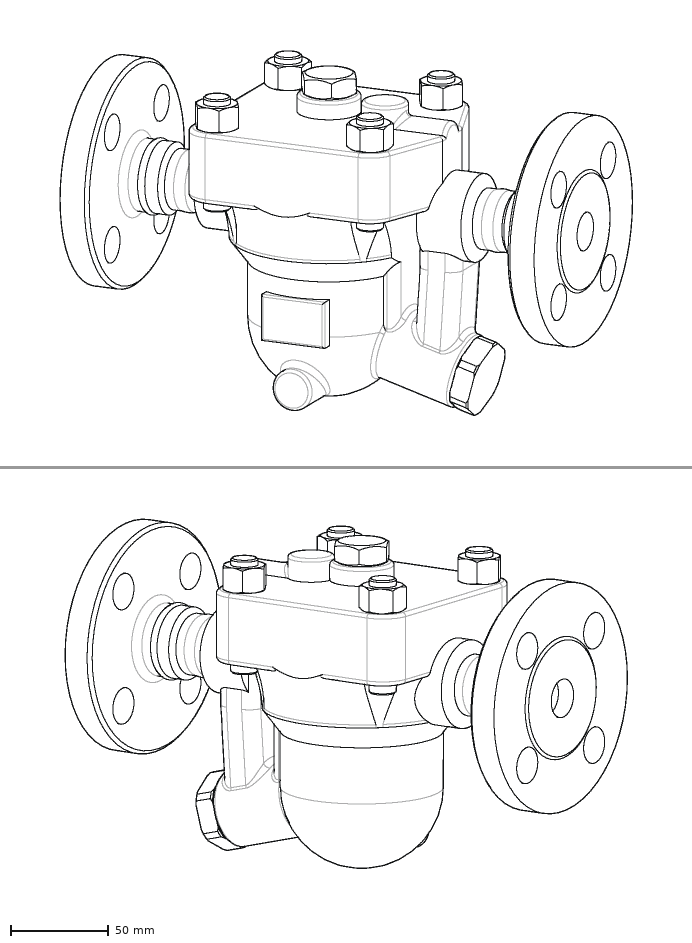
import cadquery as cq
import math


PLATE_HALF = 57.7
PLATE_TIP_X = 70.0
PLATE_TIP_HALF = 12.0
PLATE_BOTTOM = 6.5
PLATE_TOP = 44.2
TOP_ROUND = 2.0
BOTTOM_ROUND = 2.7

STUD_OFFSET = 43.4
STUD_D = 14.0
STUD_BOTTOM = 0.5
STUD_TOP = 60.7
STUD_CHAMFER = 0.8
NUT_FLATS = 21.1
NUT_TOP = 57.2
STUD_RELIEF_D = 20.0

BOWL_R = 42.0
SHOULDER_R = 51.5
FLARE_R = 60.2
FLARE_TOP = 9.8
FLARE_MID = (54.7, -2.0)
SHOULDER_TOP = -18.5
SHOULDER_BOTTOM = -20.0
CONE_BOTTOM = -32.5
DOME_Z = -62.0
BOWL_FLAT_X = 46.0
RIB_WIDTH = 33.0
RIB_ROUND = 5.5
ROOT_ROUND = 2.7

PIPE_MID_X = 9.8
FACE_X = 135.5
RAISED_FACE = 1.0
RAISED_BASE_R = 32.0
RAISED_TOP_R = 30.4
FLANGE_D = 120.0
FLANGE_INNER_X = 118.7
FLANGE_CHAMFER = 2.0
NECK_ROUND = 3.8
NECK_R = 19.0
NECK_END_X = 98.0
TUBE_R = 16.0
TUBE_START_X = 95.7
CONE_TIP_X = 78.9
HUB_R = 23.0
HUB_X = 75.5
NECK_BEAD = (105.5, 109.5, 20.0)
TUBE_BEAD = (84.0, 90.5, 16.5)
INLET_HUB_LENGTH = 43.4
OUTLET_HUB_LENGTH = 25.2
BORE_D = 20.0
BORE_DEPTH = 9.5
BOLT_HOLE_D = 19.0
BOLT_OFFSET = 30.0

BRANCH_TILT = 15.0
BRANCH_D = 40.0
BRANCH_LENGTH = 81.5
BRANCH_END_ROUND = 1.5
BRANCH_HEX_FLATS = 37.5
BRANCH_HEX_CORNERS = 41.2
BRANCH_HEX_LENGTH = 10.8
BRANCH_HEX_CHAMFER = 0.8

LEG_X = 68.5
LEG_LENGTH = 23.5
LEG_ROUND = 7.0
LEG_TOP = 8.0
LEG_BEND_Z = -26.3
LEG_BOTTOM = -76.0
LEG_TILT = 3.7
LEG_ROOT_ROUND = 2.7

JOINT_LOW_Z = -101.5
JOINT_HIGH_Z = -51.5

DRAIN_D = 22.0
DRAIN_Z = -90.8
DRAIN_REACH = 45.8
BOSS_ROUND = 1.5
LABEL_WIDTH = 35.8
LABEL_TOP = -42.0
LABEL_BOTTOM = -66.7
LABEL_REACH = 44.5
LABEL_INNER = 32.5
LABEL_ROUND = 1.0

BOSS_D = 24.0
BOSS_X = 31.7
BOSS_TOP = 56.5
PASSAGE_R = 9.5
PASSAGE_TOP = 49.5
PASSAGE_JOINT_ROUND = 2.7

BEVEL_ANGLE = 30.0

COLLAR_D = 33.0
COLLAR_BOTTOM = 47.0
COLLAR_TOP = 56.5
PLUG_HEX_FLATS = 26.8
PLUG_TOP = 67.5
PLUG_BEVEL_INSET = 1.0


def edges_within(low_corner, high_corner):
    """Selector for edges whose centres lie in a box."""
    return cq.selectors.BoxSelector(low_corner, high_corner)


def corner_width(flats):
    """Width across the corners of a hexagon, from its width across flats."""
    return flats * 2 / math.sqrt(3)


def hexagon(flats, bottom, top, bevel_inset=0.0, turn=0.0):
    """Hexagon prism along Z whose corners are bevelled at both ends."""
    across_corners = corner_width(flats)
    height = top - bottom
    prism = cq.Workplane("XY").polygon(6, across_corners).extrude(height)
    corner_drop = (across_corners - flats) / 2 + bevel_inset
    bevel_height = corner_drop * math.tan(math.radians(BEVEL_ANGLE))
    envelope = (
        cq.Workplane("XY")
        .circle(across_corners / 2)
        .extrude(height)
        .faces("<Z or >Z")
        .chamfer(bevel_height, corner_drop)
    )
    return prism.intersect(envelope).rotate((0, 0, 0), (0, 0, 1), turn).translate((0, 0, bottom))


def plate():
    """Square plate with corners round the studs and one side tapered to a tip."""
    corner_r = PLATE_HALF - STUD_OFFSET
    to_tip_x = PLATE_TIP_X - STUD_OFFSET
    to_tip_y = PLATE_TIP_HALF - STUD_OFFSET
    angle = math.atan2(to_tip_y, to_tip_x) + math.acos(corner_r / math.hypot(to_tip_x, to_tip_y))
    tangent_x = STUD_OFFSET + corner_r * math.cos(angle)
    tangent_y = STUD_OFFSET + corner_r * math.sin(angle)
    mid_angle = (angle + math.pi / 2) / 2
    mid_x = STUD_OFFSET + corner_r * math.cos(mid_angle)
    mid_y = STUD_OFFSET + corner_r * math.sin(mid_angle)
    diagonal = STUD_OFFSET + corner_r * math.sqrt(0.5)
    outline = (
        cq.Workplane("XY", origin=(0, 0, PLATE_BOTTOM))
        .moveTo(PLATE_TIP_X, -PLATE_TIP_HALF)
        .lineTo(PLATE_TIP_X, PLATE_TIP_HALF)
        .lineTo(tangent_x, tangent_y)
        .threePointArc((mid_x, mid_y), (STUD_OFFSET, PLATE_HALF))
        .lineTo(-STUD_OFFSET, PLATE_HALF)
        .threePointArc((-diagonal, diagonal), (-PLATE_HALF, STUD_OFFSET))
        .lineTo(-PLATE_HALF, -STUD_OFFSET)
        .threePointArc((-diagonal, -diagonal), (-STUD_OFFSET, -PLATE_HALF))
        .lineTo(STUD_OFFSET, -PLATE_HALF)
        .threePointArc((mid_x, -mid_y), (tangent_x, -tangent_y))
        .close()
    )
    block = outline.extrude(PLATE_TOP - PLATE_BOTTOM)
    return block.faces(">Z").edges().fillet(TOP_ROUND).faces("<Z").edges().fillet(BOTTOM_ROUND)


def bowl():
    """Turned bowl: flared rim, shoulder, cone, barrel and hemispherical bottom."""
    dome_mid = BOWL_R * math.sqrt(0.5)
    turned = (
        cq.Workplane("XZ")
        .moveTo(0, FLARE_TOP)
        .lineTo(FLARE_R, FLARE_TOP)
        .threePointArc(FLARE_MID, (SHOULDER_R, SHOULDER_TOP))
        .lineTo(SHOULDER_R, SHOULDER_BOTTOM)
        .lineTo(BOWL_R, CONE_BOTTOM)
        .lineTo(BOWL_R, DOME_Z)
        .threePointArc((dome_mid, DOME_Z - dome_mid), (0, DOME_Z - BOWL_R))
        .close()
        .revolve(360, (0, 0, 0), (0, 1, 0))
    )
    depth = FLARE_TOP - DOME_Z + BOWL_R
    limits = (
        cq.Workplane("XY", origin=((BOWL_FLAT_X - PLATE_HALF) / 2, 0, FLARE_TOP))
        .rect(BOWL_FLAT_X + PLATE_HALF, 2 * PLATE_HALF)
        .extrude(-depth)
    )
    reliefs = stud_places(PLATE_BOTTOM).circle(STUD_RELIEF_D / 2).extrude(SHOULDER_BOTTOM - PLATE_BOTTOM)
    return turned.intersect(limits).cut(reliefs)


def stud_places(height):
    """Workplane at a height with a point on each stud axis."""
    spacing = 2 * STUD_OFFSET
    return cq.Workplane("XY", origin=(0, 0, height)).rect(spacing, spacing, forConstruction=True).vertices()


def stud_and_nut(side_x, side_y):
    """Stud with its nut; nuts on opposite diagonals are turned by 30 degrees."""
    turn = 0 if side_x == side_y else 30
    stud = (
        cq.Workplane("XY", origin=(0, 0, STUD_BOTTOM))
        .circle(STUD_D / 2)
        .extrude(STUD_TOP - STUD_BOTTOM)
        .faces("<Z or >Z")
        .chamfer(STUD_CHAMFER)
    )
    nut = hexagon(NUT_FLATS, PLATE_TOP, NUT_TOP, turn=turn)
    return stud.union(nut).translate((side_x * STUD_OFFSET, side_y * STUD_OFFSET, 0))


def pipe_end(hub_length):
    """Flange, stepped neck with weld beads, and hub, pointing along +X from the middle plane."""
    root_r = NECK_R + NECK_ROUND
    root_x = FLANGE_INNER_X - NECK_ROUND
    arc_shift = NECK_ROUND * (1 - math.sqrt(0.5))
    flange_r = FLANGE_D / 2
    neck_bead_mid = (NECK_BEAD[0] + NECK_BEAD[1]) / 2
    tube_bead_mid = (TUBE_BEAD[0] + TUBE_BEAD[1]) / 2
    turned = (
        cq.Workplane("XY")
        .moveTo(HUB_X - hub_length, 0)
        .lineTo(HUB_X - hub_length, HUB_R)
        .lineTo(HUB_X, HUB_R)
        .lineTo(CONE_TIP_X, TUBE_R)
        .lineTo(TUBE_BEAD[0], TUBE_R)
        .threePointArc((tube_bead_mid, TUBE_BEAD[2]), (TUBE_BEAD[1], TUBE_R))
        .lineTo(TUBE_START_X, TUBE_R)
        .lineTo(NECK_END_X, NECK_R)
        .lineTo(NECK_BEAD[0], NECK_R)
        .threePointArc((neck_bead_mid, NECK_BEAD[2]), (NECK_BEAD[1], NECK_R))
        .lineTo(root_x, NECK_R)
        .threePointArc((FLANGE_INNER_X - arc_shift, NECK_R + arc_shift), (FLANGE_INNER_X, root_r))
        .lineTo(FLANGE_INNER_X, flange_r - FLANGE_CHAMFER)
        .lineTo(FLANGE_INNER_X + FLANGE_CHAMFER, flange_r)
        .lineTo(FACE_X - RAISED_FACE, flange_r)
        .lineTo(FACE_X - RAISED_FACE, RAISED_BASE_R)
        .lineTo(FACE_X, RAISED_TOP_R)
        .lineTo(FACE_X, 0)
        .close()
        .revolve(360, (0, 0, 0), (1, 0, 0))
    )
    bore = cq.Workplane("YZ", origin=(FACE_X, 0, 0)).circle(BORE_D / 2).extrude(-BORE_DEPTH)
    bolt_holes = (
        cq.Workplane("YZ", origin=(FACE_X, 0, 0))
        .rect(2 * BOLT_OFFSET, 2 * BOLT_OFFSET, forConstruction=True)
        .vertices()
        .circle(BOLT_HOLE_D / 2)
        .extrude(FLANGE_INNER_X - FACE_X)
    )
    return turned.cut(bore).cut(bolt_holes)


def along_branch(shape):
    """Lay a shape built along +Z onto the inclined branch axis."""
    return shape.rotate((0, 0, 0), (0, 1, 0), 90 + BRANCH_TILT).translate((0, 0, DOME_Z))


def branch_tube():
    tube = cq.Workplane("XY").circle(BRANCH_D / 2).extrude(BRANCH_LENGTH)
    return along_branch(tube.faces(">Z").edges().fillet(BRANCH_END_ROUND))


def branch_plug():
    """Hexagon head with its corners turned down to a cylinder."""
    across_corners = corner_width(BRANCH_HEX_FLATS)
    base = cq.Workplane("XY", origin=(0, 0, BRANCH_LENGTH))
    head = base.polygon(6, across_corners).extrude(BRANCH_HEX_LENGTH)
    turned = (
        base.circle(BRANCH_HEX_CORNERS / 2)
        .extrude(BRANCH_HEX_LENGTH)
        .faces("<Z or >Z")
        .chamfer(BRANCH_HEX_CHAMFER)
    )
    return along_branch(head.intersect(turned))


def leg():
    """Round-cornered leg: upright beside the hub, then leaning inwards to the branch."""
    outline = cq.Sketch().rect(LEG_LENGTH, RIB_WIDTH).vertices().fillet(LEG_ROUND)
    section = cq.Workplane("XY", origin=(LEG_X, 0, LEG_BEND_Z)).placeSketch(outline)
    upright = section.extrude(LEG_TOP - LEG_BEND_Z)
    drop = LEG_BOTTOM - LEG_BEND_Z
    lean = drop * math.tan(math.radians(LEG_TILT))
    bend_wire = upright.faces("<Z").wires().val()
    inclined = cq.Solid.extrudeLinear(bend_wire, [], cq.Vector(lean, 0, drop))
    return upright, cq.Workplane(inclined)


def rib():
    """Upright rib with rounded corners between the bowl flat and the branch."""
    rib_bottom = DOME_Z - BOWL_FLAT_X * math.tan(math.radians(BRANCH_TILT))
    block = cq.Workplane("XY").box(
        BOWL_FLAT_X, RIB_WIDTH, SHOULDER_BOTTOM - rib_bottom, centered=(False, True, False)
    )
    return block.edges("|Z and >X").fillet(RIB_ROUND).translate((0, 0, rib_bottom))


def drain():
    boss = cq.Workplane("XZ", origin=(0, 0, DRAIN_Z)).circle(DRAIN_D / 2).extrude(DRAIN_REACH)
    return boss.faces("<Y").edges().fillet(BOSS_ROUND)


def label():
    """Name plate standing off the barrel."""
    block = cq.Workplane("XY").box(
        LABEL_WIDTH, LABEL_REACH - LABEL_INNER, LABEL_TOP - LABEL_BOTTOM, centered=(True, False, False)
    )
    return block.faces("<Y").edges().fillet(LABEL_ROUND).translate((0, -LABEL_REACH, LABEL_BOTTOM))


def cover_boss_and_passage():
    """Round boss, and a half-sunk round passage from it to the tapered end of the cover."""
    boss = cq.Workplane("XY", origin=(BOSS_X, 0, PLATE_TOP)).circle(BOSS_D / 2).extrude(BOSS_TOP - PLATE_TOP)
    boss = boss.faces(">Z").edges().fillet(BOSS_ROUND)
    axis_z = PASSAGE_TOP - PASSAGE_R
    passage = cq.Workplane("YZ", origin=(BOSS_X, 0, axis_z)).circle(PASSAGE_R).extrude(PLATE_TIP_X - BOSS_X)
    passage = passage.faces(">X").edges().fillet(TOP_ROUND)
    joint = edges_within(
        (BOSS_X + PASSAGE_R, -PASSAGE_R, PLATE_TOP + TOP_ROUND), (PLATE_TIP_X, PASSAGE_R, PASSAGE_TOP)
    )
    return boss.union(passage).edges(joint).fillet(PASSAGE_JOINT_ROUND)


def trap_body():
    """Everything except the loose vent plug, as one solid."""
    body = bowl().union(branch_tube()).union(rib())
    branch_root = edges_within((0, -BOWL_R, JOINT_LOW_Z), (BOWL_FLAT_X + ROOT_ROUND, BOWL_R, JOINT_HIGH_Z))
    body = body.edges(branch_root).edges("not |Z").fillet(ROOT_ROUND)
    body = body.union(drain())
    drain_root = edges_within((-DRAIN_D, -BOWL_R, JOINT_LOW_Z), (DRAIN_D, -DRAIN_D, LEG_BOTTOM))
    body = body.edges(drain_root).fillet(ROOT_ROUND)
    upright, inclined = leg()
    body = body.union(inclined)
    leg_root = edges_within(
        (LEG_X - LEG_LENGTH, -RIB_WIDTH, LEG_BOTTOM), (LEG_X + LEG_LENGTH, RIB_WIDTH, JOINT_HIGH_Z)
    )
    body = body.edges(leg_root).fillet(LEG_ROOT_ROUND)
    body = body.union(label()).union(branch_plug())
    outlet = pipe_end(OUTLET_HUB_LENGTH).translate((PIPE_MID_X, 0, 0))
    inlet = pipe_end(INLET_HUB_LENGTH).rotate((0, 0, 0), (0, 0, 1), 180).translate((PIPE_MID_X, 0, 0))
    body = body.union(plate()).union(upright).union(inlet).union(outlet)
    body = body.union(cover_boss_and_passage())
    for side_x in (-1, 1):
        for side_y in (-1, 1):
            body = body.union(stud_and_nut(side_x, side_y))
    return body


def vent_plug():
    """Round collar with a hexagon head."""
    collar = (
        cq.Workplane("XY", origin=(0, 0, COLLAR_BOTTOM))
        .circle(COLLAR_D / 2)
        .extrude(COLLAR_TOP - COLLAR_BOTTOM)
        .faces(">Z")
        .edges()
        .fillet(BOSS_ROUND)
    )
    return collar.union(hexagon(PLUG_HEX_FLATS, COLLAR_TOP, PLUG_TOP, PLUG_BEVEL_INSET))


result = cq.Compound.makeCompound([trap_body().val(), vent_plug().val()])